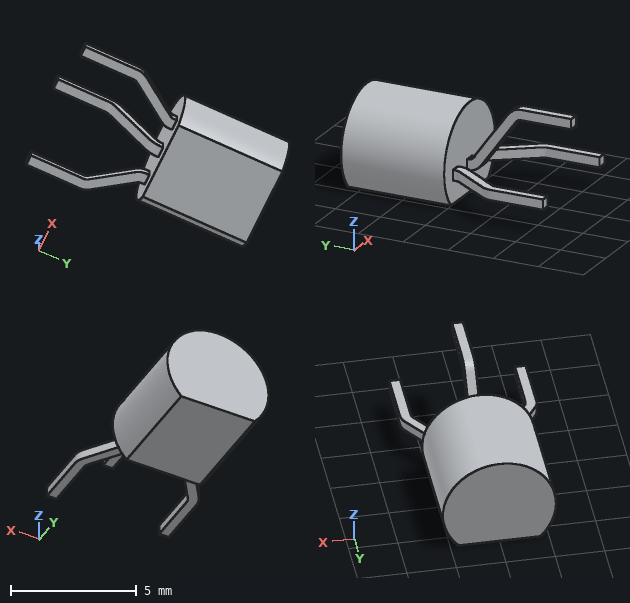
import cadquery as cq

total_length = 9.2
total_height = 4.01

body_diameter = 4.58
body_length = body_diameter
flat_depth = 1.57

lead_length = total_length - body_length
lead_thickness = 0.45
side_lead_width = 0.44
root_pitch = 1.28
tip_pitch = 2.54
first_bend = 0.29
second_bend = 2.125
first_bend_radius = 0.49
second_bend_radius = 0.53

middle_tip_z = total_height - flat_depth - lead_thickness / 2
root_z = middle_tip_z - tip_pitch


def make_body():
    """Solid barrel with the flat cut off below."""
    barrel = cq.Workplane("XZ").circle(body_diameter / 2).extrude(-body_length)
    below_flat = cq.Workplane("XY").box(
        body_diameter, body_length, body_diameter, centered=(True, False, False)
    )
    return barrel.cut(below_flat.translate((0, 0, -flat_depth - body_diameter)))


def bend_corner(path, corner, radius):
    """Round the path at the given corner point."""
    vertex = min(path.Vertices(), key=lambda v: (v.Center() - corner).Length)
    return path.fillet(radius, [vertex])


def make_lead(root_x, tip_x, tip_z, width):
    """Wire that runs straight, slants over to its tip position, then runs straight again."""
    root = cq.Vector(root_x, 0, root_z)
    first_corner = cq.Vector(root_x, -first_bend, root_z)
    second_corner = cq.Vector(tip_x, -second_bend, tip_z)
    tip = cq.Vector(tip_x, -lead_length, tip_z)

    path = cq.Wire.makePolygon([root, first_corner, second_corner, tip])
    path = bend_corner(path, first_corner, first_bend_radius)
    path = bend_corner(path, second_corner, second_bend_radius)

    section = cq.Workplane("XZ", origin=root.toTuple()).rect(width, lead_thickness)
    return section.sweep(cq.Workplane(path))


body = make_body()
middle_lead = make_lead(0, 0, middle_tip_z, lead_thickness)
side_leads = [
    make_lead(side * root_pitch, side * tip_pitch, root_z, side_lead_width)
    for side in (-1, 1)
]

result = cq.Compound.makeCompound(
    [body.val(), middle_lead.val(), *[lead.val() for lead in side_leads]]
)